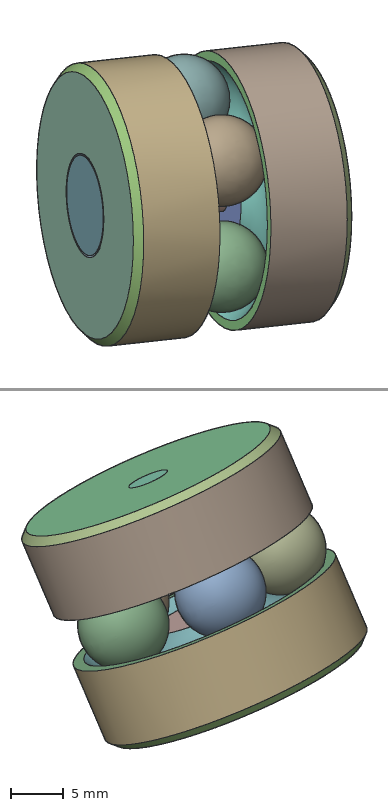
import cadquery as cq
import math

bearing_length = 22.25
race_gap = 5.24
front_race_diameter = 27.0
rear_race_diameter = 26.65
race_chamfer = 0.75

ball_count = 5
ball_diameter = 8.7
ball_pitch_radius = 8.9
first_ball_angle = 180.0

screw_diameter = 3.97
clearance_diameter = 4.2
screw_head_diameter = 9.58
countersink_diameter = 9.93

front_y = -bearing_length / 2
rear_y = bearing_length / 2
front_inner_y = -race_gap / 2
rear_inner_y = race_gap / 2


def revolve_about_y(half_profile):
    """Turn a half profile, drawn on XY to the right of the Y axis, into a solid."""
    return half_profile.close().revolve(360, (0, 0, 0), (0, 1, 0))


def countersunk_shape(shank_diameter, head_diameter):
    """Full-length shank with a 45 degree conical head flush with the front face."""
    shank_radius = shank_diameter / 2
    head_radius = head_diameter / 2
    head_depth = head_radius - shank_radius
    half_profile = (
        cq.Workplane("XY")
        .moveTo(0, front_y)
        .lineTo(head_radius, front_y)
        .lineTo(shank_radius, front_y + head_depth)
        .lineTo(shank_radius, rear_y)
        .lineTo(0, rear_y)
    )
    return revolve_about_y(half_profile)


def make_race_blank(diameter, inner_y, outer_y):
    """Disc between two Y positions, chamfered around its outer face."""
    radius = diameter / 2
    chamfer_y = outer_y - math.copysign(race_chamfer, outer_y)
    half_profile = (
        cq.Workplane("XY")
        .moveTo(0, inner_y)
        .lineTo(radius, inner_y)
        .lineTo(radius, chamfer_y)
        .lineTo(radius - race_chamfer, outer_y)
        .lineTo(0, outer_y)
    )
    return revolve_about_y(half_profile)


def make_ball_track():
    """Torus swept by the balls, which leaves a round groove in each race."""
    ball_section = cq.Workplane("XY").center(ball_pitch_radius, 0).circle(ball_diameter / 2)
    return ball_section.revolve(360, (-ball_pitch_radius, 0, 0), (-ball_pitch_radius, 1, 0))


def make_front_race():
    """Front race with a ball groove and a countersunk clearance hole."""
    blank = make_race_blank(front_race_diameter, front_inner_y, front_y)
    screw_hole = countersunk_shape(clearance_diameter, countersink_diameter)
    return blank.cut(make_ball_track()).cut(screw_hole)


def make_rear_race():
    """Rear race with a ball groove and a hole that fits the screw shank."""
    blank = make_race_blank(rear_race_diameter, rear_inner_y, rear_y)
    screw_hole = countersunk_shape(screw_diameter, screw_head_diameter)
    return blank.cut(make_ball_track()).cut(screw_hole)


def make_ball(index):
    """One ball on the pitch circle."""
    angle = math.radians(first_ball_angle + index * 360 / ball_count)
    x = ball_pitch_radius * math.cos(angle)
    z = ball_pitch_radius * math.sin(angle)
    return cq.Workplane("XY").sphere(ball_diameter / 2).translate((x, 0, z))


front_race = make_front_race()
rear_race = make_rear_race()
screw = countersunk_shape(screw_diameter, screw_head_diameter)
balls = [make_ball(index).val() for index in range(ball_count)]

result = cq.Compound.makeCompound([front_race.val(), rear_race.val(), screw.val(), *balls])